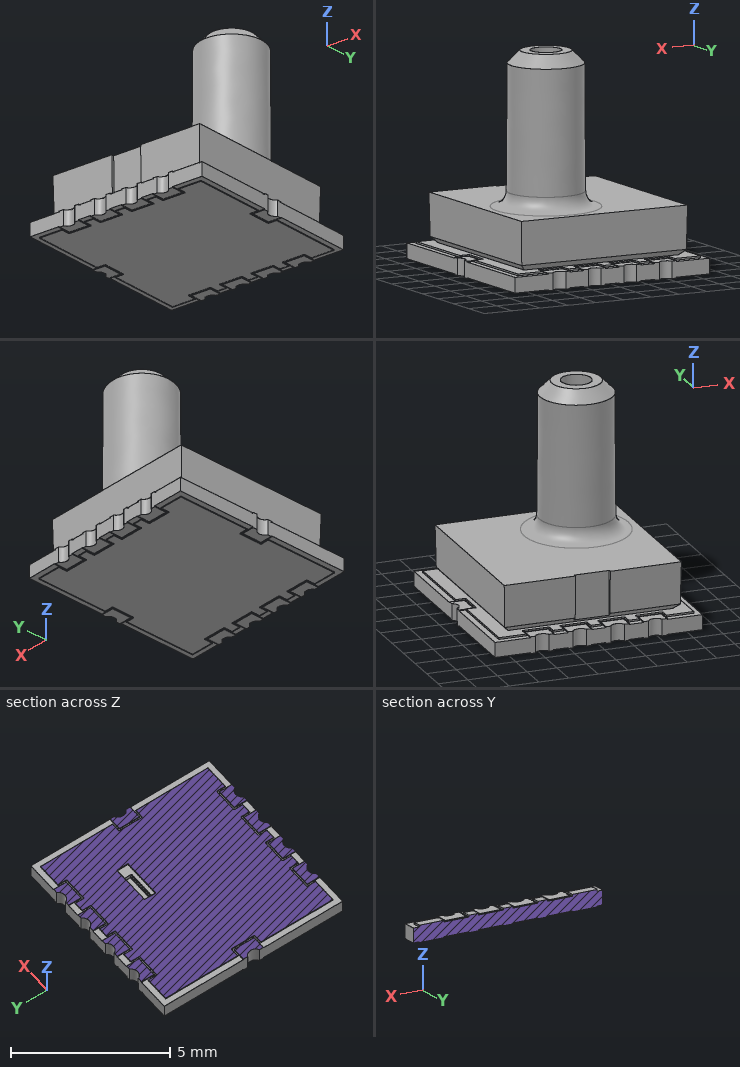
import cadquery as cq
import math

board_side = 7.0
total_height = 7.19

pad_thickness = 0.03
core_thickness = 0.51
coating_thickness = 0.06
core_top = pad_thickness + core_thickness
board_top = core_top + coating_thickness

pad_width = 0.8
pad_depth = 0.5
pad_pitch = 1.27
pads_per_row = 4

notch_diameter = 0.5
notch_depth = 0.145

coating_inset = 0.215
coating_clearance = 0.05

lid_height = 1.6
lid_top_side = 5.98
lid_draft = 0.03
lid_bevel = 0.19
lid_top = board_top + lid_height
lid_waist_side = lid_top_side - 2 * lid_draft
lid_bottom_side = lid_waist_side - 2 * lid_bevel
recess_width = 1.17
recess_depth = 0.09

port_offset = 1.0
bore_diameter = 1.0
port_base_diameter = 2.5
port_top_diameter = 2.46
tip_chamfer = 0.4
flare_radius = 0.5

shelf_width = 1.44
shelf_start = 0.02
recess_end = 0.445
well_right = 0.34
well_start = 0.165
pit_start = 0.21
sensor_step = 0.07


def pad_places():
    """Edge midpoint of every pad with the turn that takes the -Y edge to its edge."""
    row_start = -pad_pitch * (pads_per_row - 1) / 2
    row = [row_start + i * pad_pitch for i in range(pads_per_row)]
    places = [(offset, turn) for turn in (0, 180) for offset in row]
    return places + [(0, 90), (0, 270)]


def at_edge(shape, offset, turn):
    """Move a shape made at the origin to a place along one board edge."""
    moved = shape.translate((offset, -board_side / 2, 0))
    return moved.rotate((0, 0, 0), (0, 0, 1), turn)


def edge_block(width, depth, bottom, height):
    """Block centred on X that reaches inward from the board edge."""
    block = cq.Workplane("XY").box(width, depth, height, centered=(True, False, False))
    return block.translate((0, 0, bottom))


def make_coating(bottom, thickness):
    """Square layer with an opening around every pad."""
    side = board_side - 2 * coating_inset
    coating = cq.Workplane("XY").workplane(offset=bottom).rect(side, side).extrude(thickness)
    opening_width = pad_width + 2 * coating_clearance
    opening = edge_block(opening_width, pad_depth + coating_clearance, bottom, thickness)
    for offset, turn in pad_places():
        coating = coating.cut(at_edge(opening, offset, turn))
    return coating


def cut_sensor_recess(board):
    """Three nested steps, each deeper than the one before."""
    left = -shelf_width / 2
    steps = [
        (shelf_width / 2, shelf_start),
        (well_right, well_start),
        (well_right, pit_start),
    ]
    for level, (right, start) in enumerate(steps, 1):
        depth = level * sensor_step
        step = cq.Workplane("XY").box(right - left, recess_end - start, depth, centered=False)
        place = (port_offset + left, port_offset + start, board_top - depth)
        board = board.cut(step.translate(place))
    return board


def make_board():
    board = cq.Workplane("XY").workplane(offset=pad_thickness)
    board = board.rect(board_side, board_side).extrude(core_thickness)
    board = board.union(make_coating(core_top, coating_thickness))
    board = board.union(make_coating(0, pad_thickness))
    pad = edge_block(pad_width, pad_depth, 0, core_top + pad_thickness)
    notch = cq.Workplane("XY").circle(notch_diameter / 2).extrude(board_top)
    notch = notch.translate((0, notch_depth - notch_diameter / 2, 0))
    for offset, turn in pad_places():
        board = board.union(at_edge(pad, offset, turn))
        board = board.cut(at_edge(notch, offset, turn))
    return cut_sensor_recess(board)


def tapered_block(bottom, bottom_side, top, top_side):
    block = cq.Workplane("XY").workplane(offset=bottom).rect(bottom_side, bottom_side)
    return block.workplane(offset=top - bottom).rect(top_side, top_side).loft(ruled=True)


def make_port():
    """Port turned about its axis, with a concave flare at its foot and a chamfered tip."""
    base_radius = port_base_diameter / 2
    top_radius = port_top_diameter / 2
    flare_top = lid_top + flare_radius
    flare_middle = flare_radius * (1 - math.sqrt(0.5))
    profile = (
        cq.Workplane("XZ")
        .moveTo(0, lid_top)
        .lineTo(base_radius + flare_radius, lid_top)
        .threePointArc(
            (base_radius + flare_middle, lid_top + flare_middle),
            (base_radius, flare_top),
        )
        .lineTo(top_radius, total_height - tip_chamfer)
        .lineTo(top_radius - tip_chamfer, total_height)
        .lineTo(0, total_height)
        .close()
    )
    return profile.revolve(360, (0, 0), (0, 1)).translate((port_offset, port_offset, 0))


def make_lid_recess(waist):
    """Shallow cut in the -Y wall; its floor follows the draft of the wall and runs out on the bevel."""
    wall_top = -lid_top_side / 2
    draft_slope = lid_draft / (lid_top - waist)
    floor_top = wall_top + recess_depth
    floor_bottom = floor_top + draft_slope * (lid_top - board_top)
    profile = cq.Workplane("YZ").polyline(
        [(wall_top, lid_top), (floor_top, lid_top), (floor_bottom, board_top), (wall_top, board_top)]
    )
    return profile.close().extrude(recess_width / 2, both=True)


def make_lid():
    waist = board_top + lid_bevel
    lid = tapered_block(board_top, lid_bottom_side, waist, lid_waist_side)
    lid = lid.union(tapered_block(waist, lid_waist_side, lid_top, lid_top_side))
    lid = lid.cut(make_lid_recess(waist)).union(make_port())
    bore = cq.Workplane("XY").center(port_offset, port_offset).circle(bore_diameter / 2)
    return lid.cut(bore.extrude(total_height))


board = make_board()
lid = make_lid()

result = cq.Compound.makeCompound([board.solids().val(), lid.solids().val()])